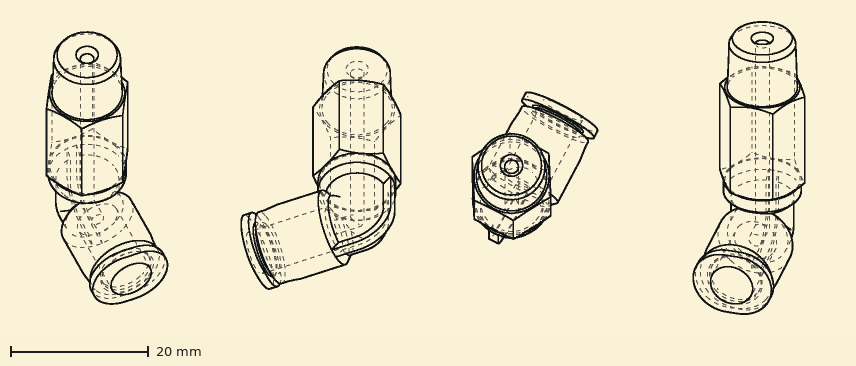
import cadquery as cq
import math


body_radius = 11.3 / 2
core_radius = 4.55
rib_thickness = 1.5

collar_bottom = 6.2
collar_cone_bottom = collar_bottom - (body_radius - core_radius)
hex_bottom = 8.2
hex_top = 24.2
stem_top = 38.35 - body_radius
hex_corner_diameter = 12.85
hex_face_diameter = 10.9
hex_chamfer_angle = math.radians(30)

thread_base_diameter = 10.2
thread_tip_diameter = 9.7
thread_end_diameter = 8.7
thread_chamfer_height = 0.95

body_start = 3.7
body_cone_start = body_start - (body_radius - core_radius)
body_taper_start = 10.78
body_taper_end = 12.77
body_end = 13.7
body_end_radius = 10.9 / 2
neck_radius = 7.75 / 2
neck_flare = 0.25
flange_start = 14.57
fitting_end = 21.75 - body_radius

flange_width = 11.8
flange_height = 9.85
flange_face_drop = 0.35

bore_diameter = 2.0
bore_countersink_diameter = 3.22
bore_countersink_depth = 0.95
socket_radius = 6.35 / 2


def revolve_about_z(profile):
    """Revolve (radius, height) points, closed through the axis, about Z."""
    points = [(0, profile[0][1])] + profile + [(0, profile[-1][1])]
    return cq.Workplane("XZ").polyline(points).close().revolve(360, (0, 0, 0), (0, 1, 0))


def revolve_about_x(profile):
    """Revolve (position, radius) points, closed through the axis, about X."""
    points = [(profile[0][0], 0)] + profile + [(profile[-1][0], 0)]
    return cq.Workplane("XZ").polyline(points).close().revolve(360, (0, 0, 0), (1, 0, 0))


def make_hexagon():
    """Hexagon with corners toward +Y and -Y, chamfered at both ends."""
    prism = (
        cq.Workplane("XY", origin=(0, 0, hex_bottom))
        .polygon(6, hex_corner_diameter)
        .extrude(hex_top - hex_bottom)
        .rotate((0, 0, 0), (0, 0, 1), 90)
    )
    face_radius = hex_face_diameter / 2
    corner_radius = hex_corner_diameter / 2
    chamfer_height = (corner_radius - face_radius) * math.tan(hex_chamfer_angle)
    envelope = revolve_about_z([
        (face_radius, hex_bottom),
        (corner_radius, hex_bottom + chamfer_height),
        (corner_radius, hex_top - chamfer_height),
        (face_radius, hex_top),
    ])
    return prism.intersect(envelope)


def make_stem():
    """Core, collar, hexagon and tapered thread along Z."""
    lower_stem = revolve_about_z([
        (core_radius, 0),
        (core_radius, collar_cone_bottom),
        (body_radius, collar_bottom),
        (body_radius, hex_bottom),
    ])
    thread = revolve_about_z([
        (thread_base_diameter / 2, hex_top),
        (thread_tip_diameter / 2, stem_top - thread_chamfer_height),
        (thread_end_diameter / 2, stem_top),
    ])
    return lower_stem.union(make_hexagon()).union(thread)


def make_tube_body():
    """Core, socket body and neck, flared where it meets the flange, along X."""
    return revolve_about_x([
        (0, core_radius),
        (body_cone_start, core_radius),
        (body_start, body_radius),
        (body_taper_start, body_radius),
        (body_taper_end, body_end_radius),
        (body_end, body_end_radius),
        (body_end, neck_radius),
        (flange_start - neck_flare, neck_radius),
        (flange_start, neck_radius + neck_flare),
    ])


def make_rib():
    """Flat rib following the outside of the bend."""
    bend_middle = body_radius * math.sqrt(0.5)
    return (
        cq.Workplane("XZ")
        .moveTo(0, collar_bottom)
        .lineTo(-body_radius, collar_bottom)
        .lineTo(-body_radius, 0)
        .threePointArc((-bend_middle, -bend_middle), (0, -body_radius))
        .lineTo(body_start, -body_radius)
        .lineTo(body_start, 0)
        .lineTo(0, 0)
        .close()
        .extrude(rib_thickness / 2, both=True)
    )


def make_flange():
    """Oval flange whose outer face slopes back from the socket mouth."""
    oval = (
        cq.Workplane("YZ", origin=(flange_start, 0, 0))
        .slot2D(flange_width, flange_height)
        .extrude(fitting_end - flange_start)
    )
    envelope = revolve_about_x([
        (flange_start, flange_width / 2),
        (fitting_end - flange_face_drop, flange_width / 2),
        (fitting_end, socket_radius),
    ])
    return oval.intersect(envelope)


def make_passage():
    """Bore from the thread end, round the bend and into the tube socket."""
    bore_radius = bore_diameter / 2
    mouth_radius = bore_countersink_diameter / 2
    vertical_bore = revolve_about_z([
        (bore_radius, 0),
        (bore_radius, stem_top - bore_countersink_depth),
        (mouth_radius, stem_top),
    ])
    horizontal_bore = revolve_about_x([
        (0, bore_radius),
        (body_start, bore_radius),
        (body_start, socket_radius),
        (fitting_end, socket_radius),
    ])
    bend = cq.Workplane("XY").sphere(bore_radius)
    return vertical_bore.union(horizontal_bore).union(bend)


elbow_corner = cq.Workplane("XY").sphere(core_radius)
outside = make_stem().union(make_tube_body()).union(elbow_corner)
outside = outside.union(make_rib()).union(make_flange())
result = outside.cut(make_passage())